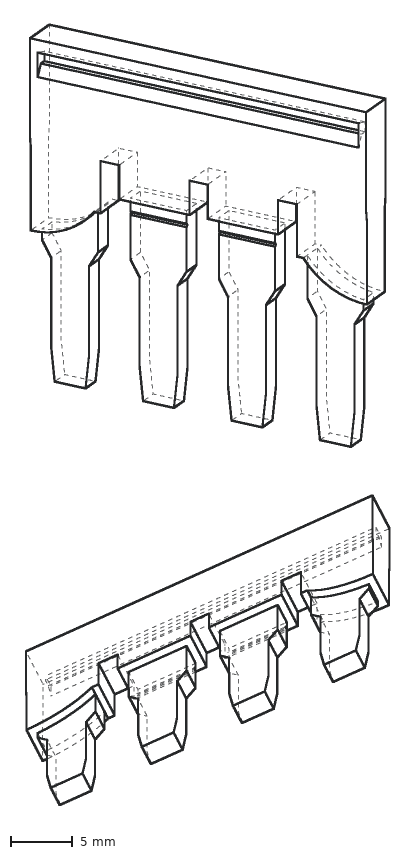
import cadquery as cq
import math

LENGTH = 31.1
THICKNESS = 3.2
TOTAL_HEIGHT = 30.1

STEP_INSET = 0.1
STEP_TOP = 8.8
HEAD_HEIGHT = 9.5
LOWER_THICKNESS = THICKNESS - 2 * STEP_INSET

GROOVE_END_MARGIN = 0.7
GROOVE_TOP = 1.12
GROOVE_BACK_TOP = 1.4
GROOVE_LEDGE = 2.27
GROOVE_BOTTOM = 3.25
GROOVE_DEPTH = 1.1
GROOVE_LEDGE_DEPTH = 0.53

PIN_PITCH = 8.18
PIN_THICKNESS = 1.68
PIN_WIDTH = 5.2
SHANK_WIDTH = 3.5
TIP_WIDTH = 2.85
SHOULDER_TOP = 17.88
SHOULDER_BOTTOM = 19.28
TIP_TAPER_START = 27.12
INNER_PIN_X = PIN_PITCH / 2
OUTER_PIN_X = INNER_PIN_X + PIN_PITCH

INNER_COLLAR_WIDTH = 6.53
OUTER_COLLAR_WIDTH = 6.47
INNER_COLLAR_BOTTOM = 12.5
OUTER_COLLAR_SHORT = 14.1
OUTER_COLLAR_LONG = 16.95

NOTCH_CENTER = 13.8
NOTCH_HEIGHT = 0.3
NOTCH_DEPTH = 0.15


def extrude_centered(sketch, thickness):
    """Extrude an XZ outline symmetrically about Y = 0."""
    return sketch.extrude(thickness / 2, both=True)


def make_head():
    half = THICKNESS / 2
    lower_half = LOWER_THICKNESS / 2
    profile = [
        (-half, 0),
        (half, 0),
        (half, -STEP_TOP),
        (lower_half, -HEAD_HEIGHT),
        (-lower_half, -HEAD_HEIGHT),
        (-half, -STEP_TOP),
    ]
    return cq.Workplane("YZ").polyline(profile).close().extrude(LENGTH / 2, both=True)


def make_marking_groove():
    front = -THICKNESS / 2
    profile = [
        (front, -GROOVE_TOP),
        (front + GROOVE_DEPTH, -GROOVE_BACK_TOP),
        (front + GROOVE_DEPTH, -GROOVE_LEDGE),
        (front + GROOVE_LEDGE_DEPTH, -GROOVE_LEDGE),
        (front, -GROOVE_BOTTOM),
    ]
    half_length = LENGTH / 2 - GROOVE_END_MARGIN
    return cq.Workplane("YZ").polyline(profile).close().extrude(half_length, both=True)


def make_pin(x):
    right_side = [
        (PIN_WIDTH / 2, -HEAD_HEIGHT),
        (PIN_WIDTH / 2, -SHOULDER_TOP),
        (SHANK_WIDTH / 2, -SHOULDER_BOTTOM),
        (SHANK_WIDTH / 2, -TIP_TAPER_START),
        (TIP_WIDTH / 2, -TOTAL_HEIGHT),
    ]
    left_side = [(-px, pz) for px, pz in reversed(right_side)]
    outline = cq.Workplane("XZ").polyline(right_side + left_side).close()
    return extrude_centered(outline, PIN_THICKNESS).translate((x, 0, 0))


def make_inner_collar(x):
    height = INNER_COLLAR_BOTTOM - HEAD_HEIGHT
    middle = -(HEAD_HEIGHT + INNER_COLLAR_BOTTOM) / 2
    return cq.Workplane("XY").box(INNER_COLLAR_WIDTH, LOWER_THICKNESS, height).translate((x, 0, middle))


def make_left_outer_collar():
    """Collar whose lower edge is an arc, level at the outer corner and rising to the pin's inner side."""
    outer_x = -LENGTH / 2
    inner_x = outer_x + OUTER_COLLAR_WIDTH
    arc_run = -OUTER_PIN_X + PIN_WIDTH / 2 - outer_x
    arc_rise = OUTER_COLLAR_LONG - OUTER_COLLAR_SHORT
    radius = (arc_run**2 + arc_rise**2) / (2 * arc_rise)
    half_angle = math.asin(arc_run / radius) / 2
    arc_middle = (
        outer_x + radius * math.sin(half_angle),
        -OUTER_COLLAR_LONG + radius * (1 - math.cos(half_angle)),
    )
    outline = (
        cq.Workplane("XZ")
        .moveTo(outer_x, -HEAD_HEIGHT)
        .lineTo(outer_x, -OUTER_COLLAR_LONG)
        .threePointArc(arc_middle, (outer_x + arc_run, -OUTER_COLLAR_SHORT))
        .lineTo(inner_x, -OUTER_COLLAR_SHORT)
        .lineTo(inner_x, -HEAD_HEIGHT)
        .close()
    )
    return extrude_centered(outline, LOWER_THICKNESS)


def make_pin_notch(x):
    front = -PIN_THICKNESS / 2
    profile = [
        (front, -NOTCH_CENTER + NOTCH_HEIGHT / 2),
        (front + NOTCH_DEPTH, -NOTCH_CENTER),
        (front, -NOTCH_CENTER - NOTCH_HEIGHT / 2),
    ]
    notch = cq.Workplane("YZ").polyline(profile).close().extrude(PIN_WIDTH / 2, both=True)
    return notch.translate((x, 0, 0))


result = make_head().cut(make_marking_groove())

left_outer_collar = make_left_outer_collar()
result = result.union(left_outer_collar).union(left_outer_collar.mirror("YZ"))

for side in (-1, 1):
    inner_x = side * INNER_PIN_X
    result = result.union(make_pin(side * OUTER_PIN_X))
    result = result.union(make_inner_collar(inner_x))
    result = result.union(make_pin(inner_x).cut(make_pin_notch(inner_x)))